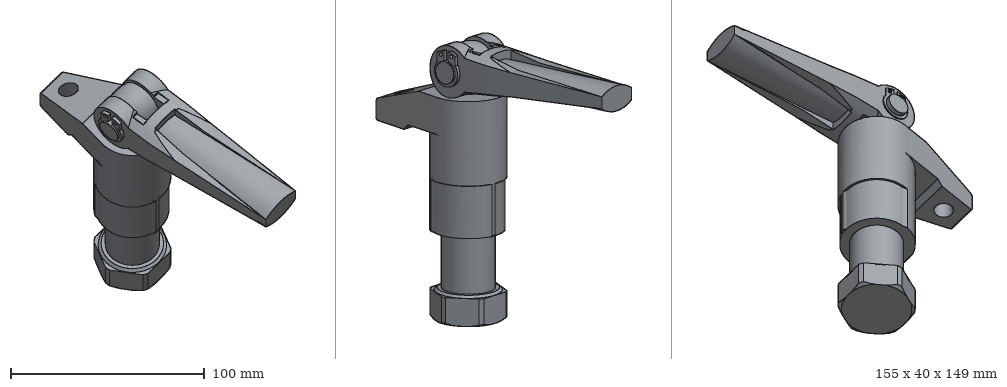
import cadquery as cq
import math

hex_top = 15.0
collar_top = 16.3
sleeve_bottom = 47.5
relief_top = 75.6
arm_pad_bottom = 98.0
arm_bottom = 101.0
arm_tip_top = 109.5
sleeve_top = 121.0

sleeve_radius = 20.0
arm_tip_x = -55.0
arm_tip_half_width = 8.7
arm_slope_start_x = -sleeve_radius
arm_pad_end_x = -32.0
arm_tip_chamfer = 1.0
arm_hole_x = -43.1
arm_hole_diameter = 10.0
relief_radius = 19.0
relief_centre_angles = (-69, 50)
relief_half_angle = 50
relief_wall_lean = 30
relief_wall_length = 3.7
sleeve_foot_chamfer = 1.0

hex_across_flats = 36.0
hex_corner_radius = sleeve_radius
foot_chamfer_width = 1.9
foot_chamfer_height = 1.2
collar_bottom_radius = 17.7
collar_top_radius = 16.1
rod_diameter = 28.0
rod_radius = rod_diameter / 2
neck_radius = 6.0
barrel_radius = 12.7
barrel_end_radius = 11.8
barrel_half_width = 6.8

eye_radius = 14.0
eye_rear_reach = 12.5
pivot_height = sleeve_top + eye_radius
fork_half_width = 16.0
hub_start_x = 4.6
hub_end_x = 24.6
hub_arch_radius = 38.8
hub_crown_at_pivot = 13.3
hub_tilt = 5.5
slot_end_x = 16.0
slot_ledge_half_width = 10.2
slot_ledge_height = 10.4
slot_ledge_start_x = 8.8
ramp_start_x = 23.0
ramp_start_height = 10.0
ramp_end_x = 40.9
ramp_end_height = 6.5
handle_end_x = 100.0
handle_end_half_width = 12.0
handle_edge_height = 3.3
handle_crown = 6.8
spine_start_x = 22.0
spine_start_half_width = 7.9
pin_radius = 6.0
pin_half_length = 19.0
clip_ring_radius = 7.8
clip_ear_radius = 11.5
clip_ear_half_width = 6.2
clip_gap_half_width = 1.2
clip_hole_x = 3.5
clip_hole_height = 9.0
clip_hole_diameter = 1.9
front_clip_thickness = 2.0
rear_clip_thickness = 0.6


def polar(radius, degrees):
    """Point at a radius and an angle from +X."""
    angle = math.radians(degrees)
    return radius * math.cos(angle), radius * math.sin(angle)


def xz_prism(outline, half_width):
    """Extrude an outline of (x, z) points to both sides of the XZ plane."""
    return cq.Workplane("XZ").polyline(outline).close().extrude(half_width, both=True)


def y_cylinder(radius, half_length):
    """Cylinder along Y through the pivot height."""
    return cq.Workplane("XZ").center(0, pivot_height).circle(radius).extrude(half_length, both=True)


def make_arm():
    """Clamping arm with sides tangent to the sleeve, a sloped top and a pad under its tip."""
    tip_distance = math.hypot(arm_tip_x, arm_tip_half_width)
    tip_angle = math.degrees(math.atan2(arm_tip_half_width, arm_tip_x))
    tangent_angle = tip_angle - math.degrees(math.acos(sleeve_radius / tip_distance))
    tangent_x, tangent_y = polar(sleeve_radius, tangent_angle)
    plan = (
        cq.Workplane("XY", origin=(0, 0, arm_pad_bottom))
        .moveTo(arm_tip_x, arm_tip_half_width)
        .lineTo(tangent_x, tangent_y)
        .lineTo(tangent_x, -tangent_y)
        .lineTo(arm_tip_x, -arm_tip_half_width)
        .close()
        .extrude(sleeve_top - arm_pad_bottom)
    )
    pad_height = arm_bottom - arm_pad_bottom
    side_outline = [
        (arm_tip_x, arm_pad_bottom),
        (arm_pad_end_x, arm_pad_bottom),
        (arm_pad_end_x + pad_height, arm_bottom),
        (0, arm_bottom),
        (0, sleeve_top),
        (arm_slope_start_x, sleeve_top),
        (arm_tip_x, arm_tip_top),
    ]
    side = xz_prism(side_outline, sleeve_radius).faces("<X").edges("|Y").chamfer(arm_tip_chamfer)
    return plan.intersect(side)


def make_relief(centre_angle):
    """Shallow relief in the lower sleeve with a flat leaning wall at each end."""
    inner_a = polar(relief_radius, -relief_half_angle)
    inner_b = polar(relief_radius, relief_half_angle)
    step_x = relief_wall_length * math.sin(math.radians(relief_wall_lean))
    step_y = relief_wall_length * math.cos(math.radians(relief_wall_lean))
    far_x = 2 * sleeve_radius
    return (
        cq.Workplane("XY", origin=(0, 0, sleeve_bottom))
        .moveTo(*inner_a)
        .threePointArc((relief_radius, 0), inner_b)
        .lineTo(inner_b[0] - step_x, inner_b[1] + step_y)
        .lineTo(far_x, inner_b[1] + step_y)
        .lineTo(far_x, inner_a[1] - step_y)
        .lineTo(inner_a[0] - step_x, inner_a[1] - step_y)
        .close()
        .extrude(relief_top - sleeve_bottom)
        .rotate((0, 0, 0), (0, 0, 1), centre_angle)
    )


def make_sleeve():
    """Sleeve with the arm, two side reliefs, two foot flats and a stepped bore for the spindle."""
    sleeve = (
        cq.Workplane("XY", origin=(0, 0, sleeve_bottom))
        .circle(sleeve_radius)
        .extrude(sleeve_top - sleeve_bottom)
        .union(make_arm())
    )
    for angle in relief_centre_angles:
        sleeve = sleeve.cut(make_relief(angle))
    for side in (1, -1):
        foot_corner = [
            (side * sleeve_radius, sleeve_bottom),
            (side * (sleeve_radius - sleeve_foot_chamfer), sleeve_bottom),
            (side * sleeve_radius, sleeve_bottom + sleeve_foot_chamfer),
        ]
        sleeve = sleeve.cut(xz_prism(foot_corner, sleeve_radius))
    arm_hole = (
        cq.Workplane("XY", origin=(arm_hole_x, 0, 0)).circle(arm_hole_diameter / 2).extrude(sleeve_top)
    )
    rod_bore = cq.Workplane("XY").circle(rod_radius).extrude(relief_top)
    neck_bore = cq.Workplane("XY").circle(neck_radius).extrude(sleeve_top)
    return sleeve.cut(arm_hole).cut(rod_bore).cut(neck_bore)


def make_foot():
    """Hexagon with rounded corners and a chamfered bottom."""
    hexagon = (
        cq.Workplane("XY")
        .polygon(6, hex_across_flats, circumscribed=True)
        .extrude(hex_top)
    )
    rounding = cq.Workplane("XZ").polyline([
        (0, 0),
        (hex_corner_radius - foot_chamfer_width, 0),
        (hex_corner_radius, foot_chamfer_height),
        (hex_corner_radius, hex_top),
        (0, hex_top),
    ]).close().revolve(360, (0, 0), (0, 1))
    return hexagon.intersect(rounding)


def make_barrel():
    """Barrel-shaped eye, revolved about the pivot axis."""
    return (
        cq.Workplane("XY")
        .moveTo(0, -barrel_half_width)
        .lineTo(barrel_end_radius, -barrel_half_width)
        .threePointArc((barrel_radius, 0), (barrel_end_radius, barrel_half_width))
        .lineTo(0, barrel_half_width)
        .close()
        .revolve(360, (0, 0), (0, 1))
        .translate((0, 0, pivot_height))
    )


def make_spindle():
    """Foot, collar, rod and neck on one axis, with the eye bored for the pivot pin."""
    shaft = cq.Workplane("XZ").polyline([
        (0, hex_top),
        (collar_bottom_radius, hex_top),
        (collar_top_radius, collar_top),
        (rod_radius, collar_top),
        (rod_radius, relief_top),
        (neck_radius, relief_top),
        (neck_radius, pivot_height),
        (0, pivot_height),
    ]).close().revolve(360, (0, 0), (0, 1))
    pin_hole = y_cylinder(pin_radius, pin_half_length)
    return make_foot().union(shaft).union(make_barrel()).cut(pin_hole)


def mirrored_outline(upper_points):
    """Outline from its upper (x, height above the pivot) points and their mirror images."""
    upper = [(x, pivot_height + height) for x, height in upper_points]
    lower = [(x, pivot_height - height) for x, height in reversed(upper_points)]
    return upper + lower


def tapered_plan(stations):
    """Tall prism, symmetric about the XZ plane, from its (x, half width) stations."""
    left = list(stations)
    right = [(x, -half_width) for x, half_width in reversed(stations)]
    return cq.Workplane("XY").polyline(left + right).close().extrude(2 * pivot_height)


def pivot_box(start_x, end_x, half_width, low, high):
    """Box symmetric about the XZ plane, with its heights measured from the pivot."""
    return xz_prism(
        [
            (start_x, pivot_height + low),
            (end_x, pivot_height + low),
            (end_x, pivot_height + high),
            (start_x, pivot_height + high),
        ],
        half_width,
    )


def make_hub_arch(side):
    """Large cylinder, sloping towards the handle, that forms the hub's top (1) or bottom (-1)."""
    centre_height = pivot_height + side * (hub_crown_at_pivot - hub_arch_radius)
    return (
        cq.Workplane("YZ", origin=(0, 0, centre_height))
        .circle(hub_arch_radius)
        .extrude(handle_end_x, both=True)
        .rotate((0, 0, centre_height), (0, 1, centre_height), side * hub_tilt)
    )


def make_hub_and_blades():
    """Arched hub that ramps down to the flat blades on both sides of the handle."""
    side_outline = mirrored_outline([
        (hub_start_x, eye_radius),
        (ramp_start_x, eye_radius),
        (ramp_start_x, ramp_start_height),
        (ramp_end_x, ramp_end_height),
    ])
    hub = xz_prism(side_outline, fork_half_width)
    for side in (1, -1):
        hub = hub.intersect(make_hub_arch(side))
    blades = xz_prism(
        mirrored_outline([(ramp_end_x, ramp_end_height), (handle_end_x, handle_edge_height)]),
        fork_half_width,
    )
    plan = tapered_plan([
        (hub_start_x, fork_half_width),
        (hub_end_x, fork_half_width),
        (handle_end_x, handle_end_half_width),
    ])
    return hub.union(blades).intersect(plan)


def make_spine_arch():
    """Bar along X with an arched top and bottom."""
    return (
        cq.Workplane("YZ", origin=(spine_start_x, 0, pivot_height))
        .moveTo(-handle_end_half_width, -handle_edge_height)
        .lineTo(-handle_end_half_width, handle_edge_height)
        .threePointArc((0, handle_crown), (handle_end_half_width, handle_edge_height))
        .lineTo(handle_end_half_width, -handle_edge_height)
        .threePointArc((0, -handle_crown), (-handle_end_half_width, -handle_edge_height))
        .close()
        .extrude(handle_end_x - spine_start_x)
    )


def make_eye():
    """Cam-shaped eye: round towards the handle, with a flatter elliptical back."""
    return (
        cq.Workplane("XZ", origin=(0, 0, pivot_height))
        .moveTo(0, -eye_radius)
        .threePointArc((eye_radius, 0), (0, eye_radius))
        .ellipseArc(eye_rear_reach, eye_radius, 90, 270, startAtCurrent=True)
        .close()
        .extrude(fork_half_width, both=True)
    )


def make_clip(thickness):
    """Retaining ring with two eared ends, extruded towards -Y from the XZ plane."""
    ring = y_cylinder(clip_ring_radius, thickness)
    ears = y_cylinder(clip_ear_radius, thickness).intersect(
        pivot_box(-clip_ear_half_width, clip_ear_half_width, thickness, 0, clip_ear_radius)
    )
    gap = pivot_box(-clip_gap_half_width, clip_gap_half_width, thickness, 0, clip_ear_radius)
    holes = (
        cq.Workplane("XZ")
        .pushPoints([(side * clip_hole_x, pivot_height + clip_hole_height) for side in (1, -1)])
        .circle(clip_hole_diameter / 2)
        .extrude(thickness, both=True)
    )
    outer_half = pivot_box(-clip_ear_radius, clip_ear_radius, thickness, -clip_ear_radius, clip_ear_radius)
    return ring.union(ears).cut(gap).cut(holes).intersect(outer_half.translate((0, -thickness, 0)))


def make_lever():
    """Forked lever with its pivot pin and the pin's retaining clips."""
    spine_plan = tapered_plan([
        (spine_start_x, spine_start_half_width),
        (handle_end_x, handle_end_half_width),
    ])
    slot = pivot_box(-2 * eye_radius, slot_end_x, barrel_half_width, -2 * eye_radius, 2 * eye_radius)
    spine = make_spine_arch().intersect(spine_plan)
    lever = make_hub_and_blades().cut(spine_plan).union(spine).union(make_eye())
    for low, high in ((slot_ledge_height, eye_radius), (-eye_radius, -slot_ledge_height)):
        lever = lever.cut(pivot_box(slot_ledge_start_x, slot_end_x, slot_ledge_half_width, low, high))
    front_clip = make_clip(front_clip_thickness).translate((0, -fork_half_width, 0))
    rear_clip = make_clip(rear_clip_thickness).mirror("XZ").translate((0, fork_half_width, 0))
    pin = y_cylinder(pin_radius, pin_half_length)
    return lever.cut(slot).union(pin).union(front_clip).union(rear_clip)


sleeve = make_sleeve()
spindle = make_spindle()
lever = make_lever()

result = cq.Compound.makeCompound([sleeve.val(), spindle.val(), lever.val()])